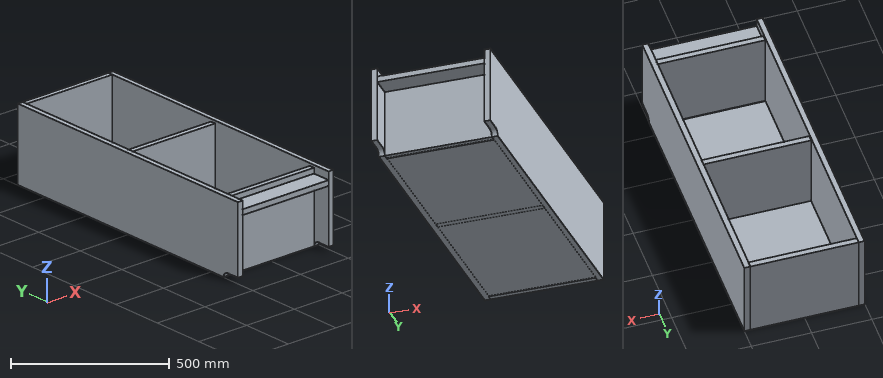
import cadquery as cq

WIDTH = 400.0
LENGTH = 1060.0
DEPTH = 280.0

BOARD = 20.0
BACK_SHEET = 3.0
SHELF_SETBACK = 10.0
MIDDLE_SHELF_Y = 25.0
BOTTOM_SHELF_RISE = 70.0
PLINTH_SETBACK = 30.0

NOTCH_LENGTH = BOTTOM_SHELF_RISE
NOTCH_RADIUS = BOARD

INNER_WIDTH = WIDTH - 2 * BOARD
FOOT_Y = -LENGTH / 2
TOP_Y = LENGTH / 2
BOTTOM_SHELF_Y = FOOT_Y + BOTTOM_SHELF_RISE


def board(width, y_min, y_max, z_min, z_max):
    """A rectangular board centred on X = 0."""
    return (
        cq.Workplane("XY", origin=(0, (y_min + y_max) / 2, z_min))
        .rect(width, y_max - y_min)
        .extrude(z_max - z_min)
    )


def make_side(x_min):
    """One notched side, extruded along +X from x_min."""
    notch_end = FOOT_Y + NOTCH_LENGTH
    return (
        cq.Workplane("YZ", origin=(x_min, 0, 0))
        .moveTo(notch_end, 0)
        .lineTo(TOP_Y, 0)
        .lineTo(TOP_Y, DEPTH)
        .lineTo(FOOT_Y, DEPTH)
        .lineTo(FOOT_Y, NOTCH_RADIUS)
        .lineTo(notch_end - NOTCH_RADIUS, NOTCH_RADIUS)
        .radiusArc((notch_end, 0), NOTCH_RADIUS)
        .close()
        .extrude(BOARD)
    )


def make_carcass():
    """Both sides joined by the back sheet, which fits between the end boards."""
    sheet = board(INNER_WIDTH, BOTTOM_SHELF_Y + BOARD, TOP_Y - BOARD, 0, BACK_SHEET)
    left = make_side(-WIDTH / 2)
    right = make_side(WIDTH / 2 - BOARD)
    return sheet.union(left).union(right)


def make_top_board():
    """Full-depth board at the head of the cabinet."""
    return board(INNER_WIDTH, TOP_Y - BOARD, TOP_Y, 0, DEPTH)


def make_middle_shelf():
    """Shelf resting against the back sheet."""
    y_min = MIDDLE_SHELF_Y - BOARD / 2
    return board(INNER_WIDTH, y_min, y_min + BOARD, BACK_SHEET, DEPTH - SHELF_SETBACK)


def make_bottom_shelf():
    """Shelf that closes the lower end of the compartment."""
    return board(INNER_WIDTH, BOTTOM_SHELF_Y, BOTTOM_SHELF_Y + BOARD, 0, DEPTH - SHELF_SETBACK)


def make_plinth():
    """Board under the bottom shelf, lying parallel to the open face."""
    z_max = DEPTH - PLINTH_SETBACK
    return board(INNER_WIDTH, FOOT_Y, BOTTOM_SHELF_Y, z_max - BOARD, z_max)


carcass = make_carcass()
top_board = make_top_board()
middle_shelf = make_middle_shelf()
bottom_shelf = make_bottom_shelf()
plinth = make_plinth()

result = cq.Compound.makeCompound([
    carcass.val(),
    top_board.val(),
    middle_shelf.val(),
    bottom_shelf.val(),
    plinth.val(),
])